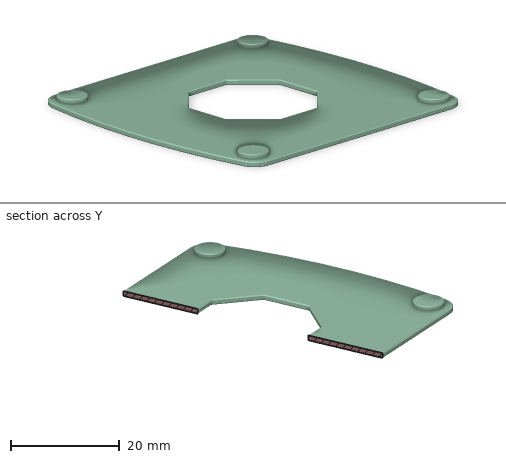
import cadquery as cq
import math

width = 56.0
length = 60.0
corner_y = 27.0
corner_radius = 4.0
height = 2.0
pad_height = 0.9
plate_thickness = height - pad_height
edge_chamfer = 0.2

window_sides = 8
window_across_flats = 23.6

pad_diameter = 5.8
pad_spacing = 47.05
pad_chamfer = 0.15


def make_plate():
    """Plate with straight sides, bowed ends, rounded corners and an octagonal window."""
    half_width = width / 2
    return (
        cq.Workplane("XY")
        .moveTo(-half_width, -corner_y)
        .threePointArc((0, -length / 2), (half_width, -corner_y))
        .lineTo(half_width, corner_y)
        .threePointArc((0, length / 2), (-half_width, corner_y))
        .close()
        .extrude(plate_thickness)
        .edges("|Z")
        .fillet(corner_radius)
        .cut(make_window())
        .faces("<Z or >Z")
        .edges()
        .chamfer(edge_chamfer)
    )


def make_window():
    """Octagonal through cutter with flats parallel to X and Y."""
    half_sector = 180 / window_sides
    octagon_diameter = window_across_flats / math.cos(math.radians(half_sector))
    return (
        cq.Workplane("XY")
        .transformed(rotate=(0, 0, half_sector))
        .polygon(window_sides, octagon_diameter)
        .extrude(plate_thickness)
    )


def make_pads():
    """Four round pads standing on the plate."""
    return (
        cq.Workplane("XY")
        .workplane(offset=plate_thickness)
        .rarray(pad_spacing, pad_spacing, 2, 2)
        .circle(pad_diameter / 2)
        .extrude(pad_height)
        .faces(">Z")
        .edges()
        .chamfer(pad_chamfer)
    )


result = make_plate().union(make_pads())